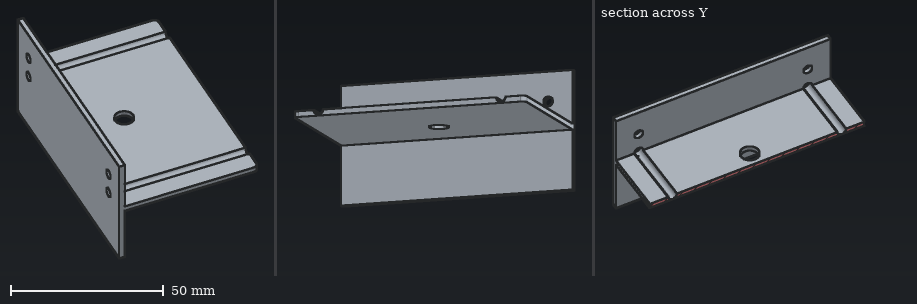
import cadquery as cq

plate_width = 80.0
plate_height = 40.0
thickness = 2.0

shelf_depth = 48.0
corner_radius = 1.6
overall_depth = thickness + shelf_depth

wire_diameter = 3.2
wire_edge_distance = 8.5
wire_x = plate_width / 2 - wire_edge_distance
wire_pitch = 8.0

mount_diameter = 6.5
mount_y = 20.0


def rod_along_y(x, z, length):
    """Cylinder of wire diameter running back from the plate's outer face."""
    return cq.Workplane("XZ").center(x, z).circle(wire_diameter / 2).extrude(-length)


plate = cq.Workplane("XY").box(plate_width, thickness, plate_height, centered=(True, False, True))

shelf = (
    cq.Workplane("XY")
    .box(plate_width, overall_depth, thickness, centered=(True, False, False))
    .edges("|Z and >Y")
    .fillet(corner_radius)
)

mount_hole = cq.Workplane("XY").center(0, mount_y).circle(mount_diameter / 2).extrude(thickness)

result = plate.union(shelf).cut(mount_hole)

for x in (-wire_x, wire_x):
    result = result.cut(rod_along_y(x, thickness, overall_depth))
    result = result.cut(rod_along_y(x, thickness + wire_pitch, thickness))